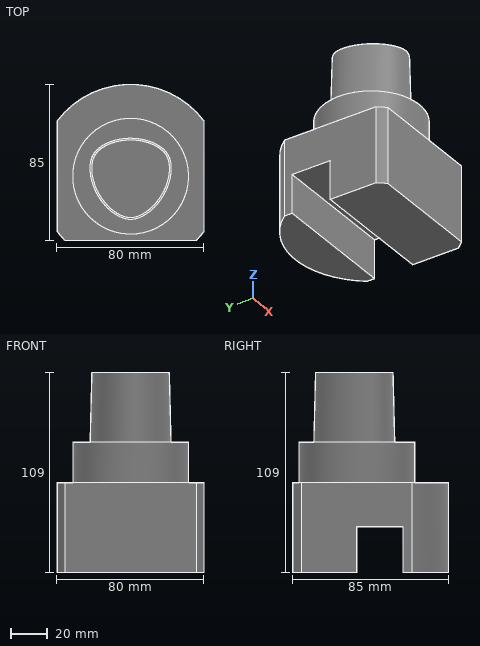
import cadquery as cq
import math

body_diameter = 100.0
body_width = 80.0
front_flat_distance = 35.0
body_height = 49.0

slot_width = 25.0
slot_depth = 25.0
slot_center_y = slot_width / 2

flange_diameter = 63.0
flange_height = 22.0

shank_length = 38.0
shank_base_width = 44.15
shank_taper = 1 / 20
lobe_eccentricity = 1.4
points_per_section = 36


def make_body():
    body_radius = body_diameter / 2
    bar = cq.Workplane("XY").circle(body_radius).extrude(body_height)
    envelope = (
        cq.Workplane("XY")
        .center(0, (body_radius - front_flat_distance) / 2)
        .rect(body_width, body_radius + front_flat_distance)
        .extrude(body_height)
    )
    return bar.intersect(envelope)


def make_slot():
    return (
        cq.Workplane("XY")
        .center(0, slot_center_y)
        .rect(body_width, slot_width)
        .extrude(slot_depth)
    )


def make_flange():
    return (
        cq.Workplane("XY", origin=(0, 0, body_height))
        .circle(flange_diameter / 2)
        .extrude(flange_height)
    )


def lobed_point(width, angle, z):
    """Point on the three-lobed curve; the angle is measured from +Y."""
    radius = width / 2
    e = lobe_eccentricity
    x = radius * math.sin(angle) + 2 * e * math.sin(2 * angle) + e * math.sin(4 * angle)
    y = radius * math.cos(angle) - 2 * e * math.cos(2 * angle) + e * math.cos(4 * angle)
    return cq.Vector(x, y, z)


def lobed_section(width, z):
    """Closed smooth wire that starts and ends at the lobe pointing toward -Y."""
    angle_step = 2 * math.pi / points_per_section
    points = [lobed_point(width, math.pi + i * angle_step, z) for i in range(points_per_section)]
    return cq.Wire.assembleEdges([cq.Edge.makeSpline(points, periodic=True)])


def make_shank():
    base_z = body_height + flange_height
    tip_width = shank_base_width - shank_taper * shank_length
    base = lobed_section(shank_base_width, base_z)
    tip = lobed_section(tip_width, base_z + shank_length)
    return cq.Workplane(cq.Solid.makeLoft([base, tip], True))


result = make_body().cut(make_slot()).union(make_flange()).union(make_shank())